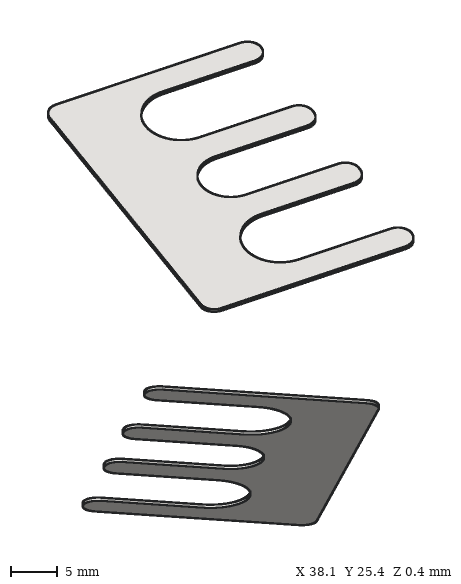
import cadquery as cq

length = 38.1
depth = 25.4
thickness = 0.4
corner_radius = 1.65

wide_slot_width = 8.55
middle_slot_width = 7.12
wide_slot_offset = 11.43
slot_end_y = 0.0


def slot_cutter(center_x, width):
    """Slot with a semicircular closed end, open at the +Y edge."""
    radius = width / 2
    open_y = depth / 2
    return (
        cq.Workplane("XY", origin=(center_x, 0, -thickness / 2))
        .moveTo(-radius, open_y)
        .lineTo(-radius, slot_end_y)
        .threePointArc((0, slot_end_y - radius), (radius, slot_end_y))
        .lineTo(radius, open_y)
        .close()
        .extrude(thickness)
    )


plate = cq.Workplane("XY").box(length, depth, thickness)
slots = [
    (-wide_slot_offset, wide_slot_width),
    (0, middle_slot_width),
    (wide_slot_offset, wide_slot_width),
]
for center_x, width in slots:
    plate = plate.cut(slot_cutter(center_x, width))

outer_corners = plate.edges("|Z").edges("<Y or >Y")
result = outer_corners.fillet(corner_radius)